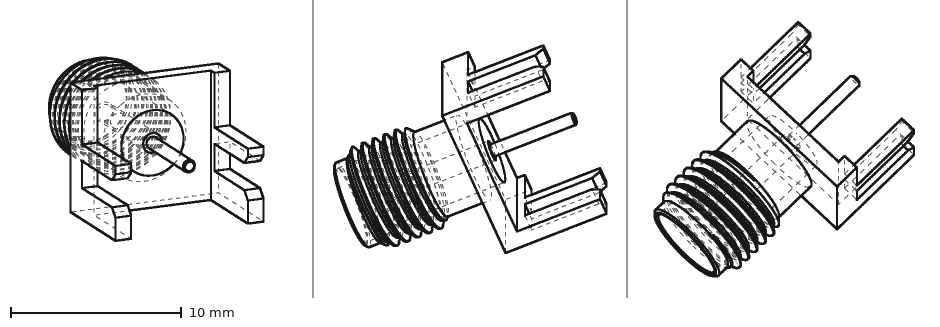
import cadquery as cq
import math

total_length = 14.27

plate_front_x = 7.83
plate_width = 9.52
plate_height = 7.92
web_thickness = 1.15
side_thickness = 1.65
side_width = 1.01
upper_leg_top = 0.63
upper_leg_bottom = -0.39
board_slot = 1.65
leg_chamfer = 0.5

barrel_radius = 5.34 / 2
barrel_chamfer = 0.13
bore_radius = 4.65 / 2
mouth_chamfer = 0.1
insert_radius = 4.0 / 2
step_chamfer = 0.11
step_depth = 1.87
insert_recess = 0.11
insert_front_x = step_depth + step_chamfer + insert_recess
insert_rear_x = plate_front_x + web_thickness

thread_start_x = 0.87
thread_end_x = 5.11
thread_radius = 6.35 / 2
thread_root_radius = 2.78
thread_pitch = 0.7
thread_crest_flat = thread_pitch / 8
thread_flank_angle = 30.0
groove_phase_x = 0.5
groove_overlap = 0.07

contact_radius = 1.2 / 2
socket_radius = 0.97 / 2
socket_mouth_chamfer = contact_radius - socket_radius
socket_depth = 2.0
drill_point_angle = 59.0
tail_radius = 0.75 / 2
tail_chamfer = 0.09


def revolve_about_x(points):
    """Revolve a closed outline of (x, radius) points about the X axis."""
    return cq.Workplane("XY").polyline(points).close().revolve(360, (0, 0, 0), (1, 0, 0))


def cylinder_along_x(radius, start_x, end_x):
    return cq.Workplane("YZ", origin=(start_x, 0, 0)).circle(radius).extrude(end_x - start_x)


def make_plate():
    """Plate with a stepped rear face and two chamfered legs on each side."""
    top = plate_height / 2
    bottom = -top
    side_rear_x = plate_front_x + side_thickness
    lower_leg_top = upper_leg_bottom - board_slot
    chamfer_x = total_length - leg_chamfer
    side_outline = [
        (plate_front_x, top),
        (side_rear_x, top),
        (side_rear_x, upper_leg_top),
        (total_length, upper_leg_top),
        (total_length, upper_leg_bottom + leg_chamfer),
        (chamfer_x, upper_leg_bottom),
        (side_rear_x, upper_leg_bottom),
        (side_rear_x, lower_leg_top),
        (chamfer_x, lower_leg_top),
        (total_length, lower_leg_top - leg_chamfer),
        (total_length, bottom),
        (plate_front_x, bottom),
    ]
    plate = cq.Workplane("XY").box(web_thickness, plate_width, plate_height)
    plate = plate.translate((plate_front_x + web_thickness / 2, 0, 0))
    for outer_y in (plate_width / 2, side_width - plate_width / 2):
        side = cq.Workplane("XZ", origin=(0, outer_y, 0)).polyline(side_outline).close().extrude(side_width)
        plate = plate.union(side)
    return plate


def make_thread():
    """Right-hand threaded collar with 45 degree ends, cut by a helical V groove."""
    end_slope = thread_radius - barrel_radius
    collar = revolve_about_x([
        (thread_start_x, 0),
        (thread_start_x, barrel_radius),
        (thread_start_x + end_slope, thread_radius),
        (thread_end_x - end_slope, thread_radius),
        (thread_end_x, barrel_radius),
        (thread_end_x, 0),
    ])

    start_x = groove_phase_x - thread_pitch
    turn_count = math.ceil((thread_end_x - start_x) / thread_pitch) + 1
    flank_slope = math.tan(math.radians(thread_flank_angle))
    outer_radius = thread_radius + groove_overlap
    crest_half = (thread_pitch - thread_crest_flat) / 2
    outer_half = crest_half + groove_overlap * flank_slope
    root_half = crest_half - (thread_radius - thread_root_radius) * flank_slope

    helix = cq.Wire.makeHelix(thread_pitch, thread_pitch, thread_root_radius)
    groove_turn = (
        cq.Workplane("XZ")
        .polyline([
            (thread_root_radius, -root_half),
            (outer_radius, -outer_half),
            (outer_radius, outer_half),
            (thread_root_radius, root_half),
        ])
        .close()
        .sweep(cq.Workplane(helix), isFrenet=True)
        .rotate((0, 0, 0), (0, 1, 0), 90)
    )
    for turn in range(turn_count):
        collar = collar.cut(groove_turn.translate((start_x + turn * thread_pitch, 0, 0)))
    return collar


def make_housing():
    barrel = cylinder_along_x(barrel_radius, 0, plate_front_x).faces("<X").chamfer(barrel_chamfer)
    bore = revolve_about_x([
        (0, 0),
        (0, bore_radius + mouth_chamfer),
        (mouth_chamfer, bore_radius),
        (step_depth, bore_radius),
        (step_depth, insert_radius + step_chamfer),
        (step_depth + step_chamfer, insert_radius),
        (insert_rear_x, insert_radius),
        (insert_rear_x, 0),
    ])
    return make_plate().union(barrel).union(make_thread()).cut(bore)


def make_contact():
    """Contact with a drilled socket in front and a thin solder tail behind."""
    socket_floor_x = insert_front_x + socket_depth
    drill_tip_x = socket_floor_x + socket_radius / math.tan(math.radians(drill_point_angle))
    tail = cylinder_along_x(tail_radius, insert_rear_x, total_length).faces(">X").chamfer(tail_chamfer)
    socket = revolve_about_x([
        (insert_front_x, 0),
        (insert_front_x, contact_radius),
        (insert_front_x + socket_mouth_chamfer, socket_radius),
        (socket_floor_x, socket_radius),
        (drill_tip_x, 0),
    ])
    return cylinder_along_x(contact_radius, insert_front_x, insert_rear_x).union(tail).cut(socket)


def make_insulator():
    insulator = cylinder_along_x(insert_radius, insert_front_x, insert_rear_x)
    return insulator.cut(cylinder_along_x(contact_radius, insert_front_x, insert_rear_x))


housing = make_housing()
insulator = make_insulator()
contact = make_contact()

result = cq.Compound.makeCompound([housing.val(), insulator.val(), contact.val()])